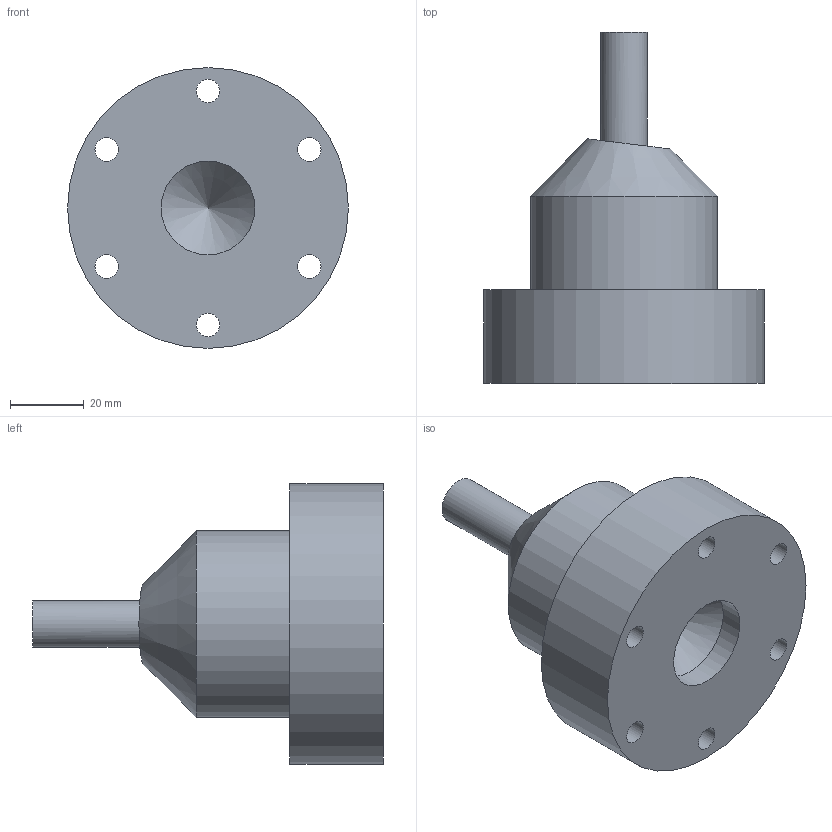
import cadquery as cq

INCH = 25.4
flange_radius = 1.5 * INCH
flange_length = INCH
body_radius = INCH
body_length = INCH
stem_radius = 0.25 * INCH
stem_length = INCH

bolt_circle_radius = 1.25 * INCH
bolt_hole_diameter = 0.25 * INCH
bolt_hole_count = 6

bore_radius = 0.5 * INCH
bore_straight_depth = 0.25 * INCH

shoulder_height = 65.15
shoulder_tilt = 7.0

body_end = flange_length + body_length
cone_end = body_end + body_radius - stem_radius
stem_end = cone_end + stem_length


def revolve_about_y(points):
    """Full turn of a closed (radius, Y) outline about the part axis."""
    return cq.Workplane("XY").polyline(points).close().revolve(360, (0, 0, 0), (0, 1, 0))


def make_outer_body():
    """Flange, barrel and 45 degree nose cone narrowing to the stem radius."""
    return revolve_about_y([
        (0, 0),
        (flange_radius, 0),
        (flange_radius, flange_length),
        (body_radius, flange_length),
        (body_radius, body_end),
        (stem_radius, cone_end),
        (0, cone_end),
    ])


def make_shoulder_cut():
    """Disc that trims the nose cone beyond the slanted shoulder plane."""
    return (
        cq.Workplane("XZ", origin=(0, shoulder_height, 0))
        .transformed(rotate=(0, -shoulder_tilt, 0))
        .circle(body_radius)
        .extrude(-body_radius)
    )


def make_stem():
    """Round stem rooted inside the nose cone; negative extrusions run toward +Y."""
    return cq.Workplane("XZ", origin=(0, body_end, 0)).circle(stem_radius).extrude(body_end - stem_end)


def make_bore():
    """Straight bore ending in a 45 degree conical bottom."""
    return revolve_about_y([
        (0, 0),
        (bore_radius, 0),
        (bore_radius, bore_straight_depth),
        (0, bore_straight_depth + bore_radius),
    ])


def make_bolt_holes():
    """Through holes in the flange, the first one straight above the axis."""
    return (
        cq.Workplane("XZ")
        .polarArray(bolt_circle_radius, 90, 360, bolt_hole_count)
        .circle(bolt_hole_diameter / 2)
        .extrude(-flange_length)
    )


result = (
    make_outer_body()
    .cut(make_shoulder_cut())
    .union(make_stem())
    .cut(make_bore())
    .cut(make_bolt_holes())
)